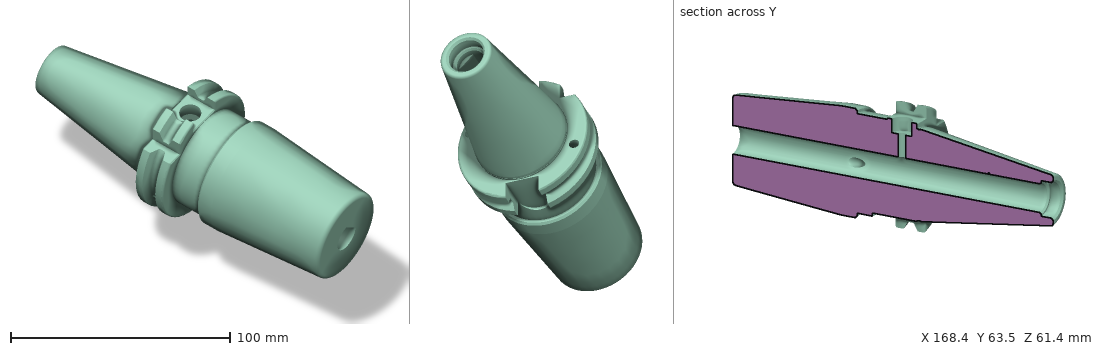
import cadquery as cq
import math

length = 168.4

taper_ratio = 7 / 24
taper_length = 69.0
taper_big_radius = 22.4
taper_small_radius = taper_big_radius - taper_length * taper_ratio / 2
shank_end_fillet = 1.3
relief_start = 70.0
relief_end = 70.7
relief_radius = 22.2

flange_start = 71.5
flange_width = 15.8
flange_end = flange_start + flange_width
flange_middle = flange_start + flange_width / 2
flange_diameter = 63.5
flange_radius = flange_diameter / 2
flange_fillet = 1.0
groove_radius = 28.1
groove_floor_width = 3.2
groove_half_angle = 30
groove_floor_fillet = 0.8

body_radius = 24.2
nose_start = 102.9
nose_radius = 26.6
nose_chamfer = 1.0
nose_taper_start = 111.1
nose_end_radius = 21.9
nose_end_fillet = 2.0

counterbore_diameter = 17.0
counterbore_radius = counterbore_diameter / 2
counterbore_depth = 6.2
bore_diameter = 13.6
bore_radius = bore_diameter / 2
mouth_chamfer = 1.0
bore_chamfer = 0.8
bore_flat_distance = 4.9
bore_flat_start = 10.1
bore_flat_angle = 45

slot_width = 16.2
upper_slot_floor = 25.0
lower_slot_floor = 22.7
lower_slot_end = 94.8
notch_corner = 18.5
cutout_chamfer = 0.5

screw_head_radius = 5.0
screw_head_depth = 6.7
screw_hole_radius = 1.9

coolant_circle_radius = 27.1
coolant_hole_radius = 2.2
coolant_lean = 30
coolant_angle = 20

plug_radius = 1.7
plug_depth = 2.0

slack = 1.7


def turned(points):
    return cq.Workplane("XZ").polyline(points).close().revolve(360, (0, 0, 0), (1, 0, 0))


def round_edges_at(body, x, radius, fillet):
    """Fillet the circular edge about the X axis with the given place and radius."""
    reach = 0.08
    around_edge = cq.selectors.BoxSelector(
        (x - reach, -radius - reach, -radius - reach),
        (x + reach, radius + reach, radius + reach),
        boundingbox=True,
    )
    return body.edges(around_edge).edges("%CIRCLE").fillet(fillet)


def make_shank():
    shank = turned([
        (0, 0),
        (0, taper_small_radius),
        (taper_length, taper_big_radius),
        (relief_start, taper_big_radius),
        (relief_start, relief_radius),
        (relief_end, relief_radius),
        (relief_end, taper_big_radius),
        (flange_middle, taper_big_radius),
        (flange_middle, 0),
    ])
    return round_edges_at(shank, 0, taper_small_radius, shank_end_fillet)


def make_flange():
    flange = turned([
        (flange_start, 0),
        (flange_start, flange_radius),
        (flange_end, flange_radius),
        (flange_end, 0),
    ])
    flange = flange.faces("<X or >X").edges().fillet(flange_fillet)

    floor_half = groove_floor_width / 2
    groove_slope = math.tan(math.radians(groove_half_angle))
    groove_top_radius = flange_radius + slack
    top_half = floor_half + (groove_top_radius - groove_radius) * groove_slope
    groove = turned([
        (flange_middle - floor_half, groove_radius),
        (flange_middle + floor_half, groove_radius),
        (flange_middle + top_half, groove_top_radius),
        (flange_middle - top_half, groove_top_radius),
    ])
    for side in (-1, 1):
        groove = round_edges_at(
            groove, flange_middle + side * floor_half, groove_radius, groove_floor_fillet
        )
    return flange.cut(groove)


def make_nose():
    nose = turned([
        (flange_middle, 0),
        (flange_middle, body_radius),
        (nose_start, body_radius),
        (nose_start, nose_radius - nose_chamfer),
        (nose_start + nose_chamfer, nose_radius),
        (nose_taper_start, nose_radius),
        (length, nose_end_radius),
        (length, 0),
    ])
    return nose.faces(">X").edges().fillet(nose_end_fillet)


def make_bore():
    """Through bore with a counterbored mouth and a flat along one side of its narrow part."""
    bore = turned([
        (0, 0),
        (0, counterbore_radius + mouth_chamfer),
        (mouth_chamfer, counterbore_radius),
        (counterbore_depth, counterbore_radius),
        (counterbore_depth, bore_radius + bore_chamfer),
        (counterbore_depth + bore_chamfer, bore_radius),
        (length, bore_radius),
        (length, 0),
    ])
    flat = (
        cq.Workplane("XY")
        .box(length, 2 * bore_radius, bore_radius, centered=(False, True, False))
        .translate((bore_flat_start, 0, bore_flat_distance))
        .rotate((0, 0, 0), (1, 0, 0), -bore_flat_angle)
    )
    return bore.cut(flat)


def make_chamfered_cutter(y_low, y_high, floor):
    """Box across the flange, open upward, that widens to chamfer the edges on both flange faces."""
    height = flange_radius + slack - floor
    width = y_high - y_low
    cutter = cq.Workplane("XY").box(flange_width, width, height, centered=(True, True, False))
    for side in (-1, 1):
        flare = (
            cq.Workplane("YZ", origin=(side * flange_width / 2, 0, height))
            .rect(width + 2 * cutout_chamfer, 2 * (height + cutout_chamfer))
            .workplane(offset=-side * cutout_chamfer)
            .rect(width, 2 * height)
            .loft(ruled=True)
        )
        cutter = cutter.union(flare)
    return cutter.translate((flange_middle, (y_low + y_high) / 2, floor))


def make_upper_slot():
    return make_chamfered_cutter(-slot_width / 2, slot_width / 2, upper_slot_floor)


def make_lower_slot():
    """Slot open toward the shank and ending in a half round inside the body."""
    end_radius = slot_width / 2
    round_centre = lower_slot_end - end_radius
    depth = flange_radius - lower_slot_floor + slack
    straight = cq.Workplane("XY").box(
        round_centre - relief_end, slot_width, depth, centered=(False, True, False)
    ).translate((relief_end, 0, 0))
    round_end = cq.Workplane("XY").center(round_centre, 0).circle(end_radius).extrude(depth)
    return straight.union(round_end).translate((0, 0, -lower_slot_floor - depth))


def make_notch():
    """Square corner cut through the flange on its -Y, +Z side."""
    return make_chamfered_cutter(-flange_radius - slack, -notch_corner, notch_corner)


def make_screw_hole():
    """Flat-bottomed head recess with a smaller hole running on into the bore."""
    head_floor = upper_slot_floor - screw_head_depth
    head = (
        cq.Workplane("XY", origin=(flange_middle, 0, head_floor))
        .circle(screw_head_radius)
        .extrude(screw_head_depth + slack)
    )
    drill = cq.Workplane("XY", origin=(flange_middle, 0, 0)).circle(screw_hole_radius).extrude(head_floor)
    return head.union(drill)


def on_both_sides(cutter):
    """Turn a cutter built over +Y to the coolant angle and repeat it half a turn away."""
    first = cutter.rotate((0, 0, 0), (1, 0, 0), coolant_angle)
    return first.union(first.rotate((0, 0, 0), (1, 0, 0), 180))


def make_coolant_channels():
    lean = math.radians(coolant_lean)
    channel_length = (coolant_circle_radius - bore_radius / 2) / math.sin(lean)
    direction = cq.Vector(math.cos(lean), -math.sin(lean), 0)
    mouth = cq.Vector(flange_start, coolant_circle_radius, 0)
    channel = cq.Solid.makeCylinder(
        coolant_hole_radius, channel_length + slack, mouth - direction * slack, direction
    )
    return on_both_sides(cq.Workplane("XY").add(channel))


def make_plug_recesses():
    recess = cq.Solid.makeCylinder(
        plug_radius,
        plug_depth + slack,
        cq.Vector(flange_middle, groove_radius - plug_depth, 0),
        cq.Vector(0, 1, 0),
    )
    return on_both_sides(cq.Workplane("XY").add(recess))


result = make_shank().union(make_flange()).union(make_nose())
cutters = (
    make_bore(),
    make_upper_slot(),
    make_lower_slot(),
    make_notch(),
    make_screw_hole(),
    make_coolant_channels(),
    make_plug_recesses(),
)
for cutter in cutters:
    result = result.cut(cutter)